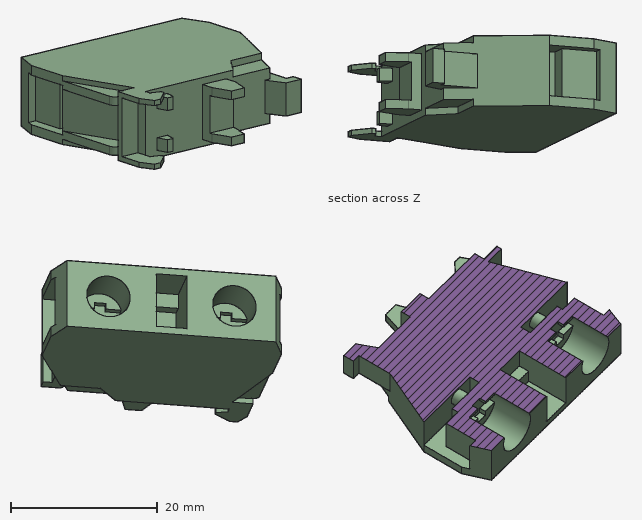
import cadquery as cq

height = 9.8
half_height = height / 2
length_y = 32.0
back_x = 23.6
shoulder_x = 3.95
shoulder_y = 1.55
ramp_x = 10.43
rear_top_y = 26.0

plate_t = 0.75
inner_half = half_height - plate_t
web_x = 21.2
web_t = 0.83
hook_y = 0.7
ledge_y = 3.6
ledge_round = 0.95
ramp_pocket_half = 2.95
hook_taper_x = 25.6
hook_end_x = 27.68
hook_nose_low_y = 1.65
hook_nose_high_y = 2.75
hook_barb_y = 5.15
hook_barb_x = 25.02
hook_notch_x = 24.5

screw_y = 7.25
screw_ys = (screw_y, length_y - screw_y)
bore_r = 3.0
bore_depth = 6.08
cross_depth = 0.95
cross_slot_w = 1.6
cross_slot_h = 3.25
shank_r = 1.15
pocket_x = 2.88
pocket_half = 3.52
clamp_x = 7.95
clamp_end_x = 8.9
pocket_floor_y = 1.65

plunger_y = 15.97
plunger_w = 4.22
plunger_half = 3.9
prong_t = 1.25
prong_end_x = 28.5
prong_taper_x = 25.55
prong_tip_w = 2.3
bridge_end_x = 25.1
window_depth = 6.4
window_step = 1.6
window_step_h = 3.7

nub_y = 6.6
nub_w = 1.9
nub_tip_w = 1.0
nub_root_x = 23.05
nub_end_x = 25.28
nub_half = 3.87
nub_gap_half = 2.08
latch_half = 2.37
recess_x = 19.9
recess_y = 22.1
recess_end_y = 19.35
recess_depth = 0.95
latch_root_x = 19.2
latch_outer_y = 27.9
latch_inner_y = 25.05
latch_catch_x = 24.77
latch_catch_y = 29.15
latch_end_x = 26.45
latch_end_y = 26.4


def prism(points, z_low, z_high):
    """Extrude an XY outline between two heights."""
    return cq.Workplane("XY").workplane(offset=z_low).polyline(points).close().extrude(z_high - z_low)


def box(x0, x1, y0, y1, half):
    """Box centred on Z = 0, given its X and Y limits and its half height."""
    return prism([(x0, y0), (x1, y0), (x1, y1), (x0, y1)], -half, half)


def both_sides(points, z_low, z_high):
    """The same prism above and, mirrored, below Z = 0."""
    upper = prism(points, z_low, z_high)
    return upper.union(upper.mirror("XY"))


def tapered_outline(y, width, tip_width, taper_x, end_x, root_x=back_x):
    """Outline of a finger pointing along +X with a narrowing tip."""
    return [
        (root_x, y - width / 2),
        (taper_x, y - width / 2),
        (end_x, y - tip_width / 2),
        (end_x, y + tip_width / 2),
        (taper_x, y + width / 2),
        (root_x, y + width / 2),
    ]


def make_housing():
    """Solid housing with its hook-side rear corner rounded."""
    outline = [
        (0, shoulder_y),
        (shoulder_x, 0),
        (web_x, 0),
        (web_x, ledge_y),
        (back_x, ledge_y),
        (back_x, rear_top_y),
        (ramp_x, length_y),
        (shoulder_x, length_y),
        (0, length_y - shoulder_y),
    ]
    housing = prism(outline, -half_height, half_height)
    corner = cq.selectors.NearestToPointSelector((web_x, 0, 0))
    return housing.edges("|Z").edges(corner).fillet(ledge_round)


def cut_ramps(body):
    """Triangular steps in both flat faces and a ramped pocket between them."""
    triangle = [(ramp_x, 0), (web_x, 0), (web_x, ledge_y)]
    steps = both_sides(triangle, inner_half, half_height)
    pocket = prism(triangle, -ramp_pocket_half, ramp_pocket_half)
    return body.cut(steps).cut(pocket)


def add_hooks(body):
    """Web behind the ramps and a barbed hook plate on each flat face."""
    web = box(web_x, web_x + web_t, hook_y, ledge_y, half_height)
    hook = [
        (web_x, hook_y),
        (hook_taper_x, hook_y),
        (hook_end_x, hook_nose_low_y),
        (hook_end_x, hook_nose_high_y),
        (hook_taper_x, hook_barb_y),
        (hook_barb_x, hook_barb_y),
        (hook_notch_x, ledge_y),
        (web_x, ledge_y),
    ]
    return body.union(web).union(both_sides(hook, inner_half, half_height))


def terminal_pocket():
    """Stepped side pocket opening at Y = 0, with the screw shank left standing."""
    cavity = box(pocket_x, clamp_x, 0, pocket_floor_y, pocket_half)
    cavity = cavity.union(box(clamp_x, clamp_end_x, 0, screw_y - bore_r, pocket_half))
    cavity = cavity.union(box(clamp_end_x, ramp_x, 0, screw_y + bore_r, pocket_half))
    shank = cq.Workplane("YZ").center(screw_y, 0).circle(shank_r).extrude(ramp_x)
    return cavity.cut(shank)


def cut_terminals(body):
    """Side pockets on both long sides, and screw bores with cross-slotted floors."""
    near_pocket = terminal_pocket()
    far_pocket = near_pocket.mirror("XZ").translate((0, length_y, 0))
    body = body.cut(near_pocket).cut(far_pocket)
    for y in screw_ys:
        bore = cq.Workplane("YZ").center(y, 0).circle(bore_r).extrude(bore_depth)
        head = cq.Workplane("YZ", origin=(bore_depth, y, 0))
        disc = head.circle(bore_r).extrude(cross_depth)
        long_slot = head.rect(2 * bore_r, cross_slot_w).extrude(cross_depth).intersect(disc)
        short_slot = head.rect(cross_slot_w, cross_slot_h).extrude(cross_depth)
        body = body.cut(bore).cut(long_slot).cut(short_slot)
    return body


def cut_window(body):
    """Stepped window over the plunger in the screw face."""
    face = cq.Workplane("YZ").center(plunger_y, 0)
    outer = face.rect(plunger_w, 2 * plunger_half).extrude(window_depth)
    middle = face.rect(plunger_w, window_step_h).extrude(window_depth + window_step)
    return body.cut(outer).cut(middle)


def add_plunger(body):
    """Two tapered prongs, joined by a bridge at the rear face."""
    prong = tapered_outline(plunger_y, plunger_w, prong_tip_w, prong_taper_x, prong_end_x)
    prongs = both_sides(prong, plunger_half - prong_t, plunger_half)
    side = plunger_w / 2
    bridge = box(back_x, bridge_end_x, plunger_y - side, plunger_y + side, plunger_half)
    return body.union(prongs).union(bridge)


def add_nubs(body):
    """Pair of small tapered nubs on the rear face, one on each side of Z = 0."""
    nub = tapered_outline(nub_y, nub_w, nub_tip_w, back_x, nub_end_x, nub_root_x)
    return body.union(both_sides(nub, nub_gap_half, nub_half))


def add_latch(body):
    """Recessed rear corner with the latch arm growing out of it."""
    recess = [
        (recess_x, length_y),
        (recess_x, recess_y),
        (back_x, recess_end_y),
        (back_x, length_y),
    ]
    latch = [
        (latch_root_x, latch_outer_y),
        (latch_catch_x, latch_outer_y),
        (latch_catch_x, latch_catch_y),
        (latch_end_x, latch_catch_y),
        (latch_end_x, latch_end_y),
        (back_x, latch_inner_y),
        (latch_root_x, latch_inner_y),
    ]
    body = body.cut(both_sides(recess, half_height - recess_depth, half_height))
    return body.union(prism(latch, -latch_half, latch_half))


result = make_housing()
result = cut_ramps(result)
result = add_hooks(result)
result = cut_terminals(result)
result = cut_window(result)
result = add_plunger(result)
result = add_nubs(result)
result = add_latch(result)